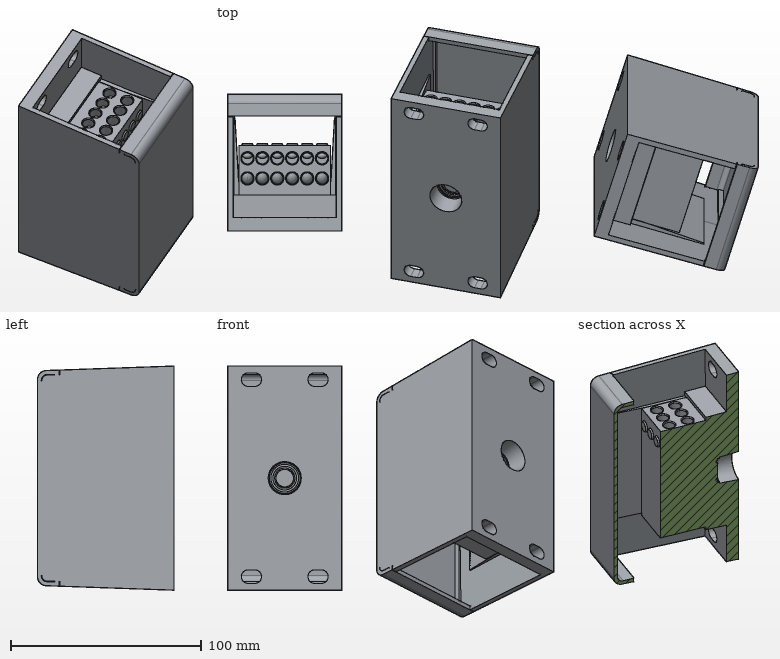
import cadquery as cq
import math

WIDTH = 60.0
DEPTH = 72.0
HEIGHT = 118.0
END_DRAFT = 2.0
BACK_CORNER_RADIUS = 5.0

FRONT_WALL = 7.1
COVER_THICKNESS = 2.2
COVER_INNER_RADIUS = 3.1
LIP_FRONT_Y = 60.4
LIP_INNER_HALF_HEIGHT = 54.4
COVER_INNER_Y = DEPTH - COVER_THICKNESS
CAVITY_HALF_WIDTH_MIDDLE = 26.3
CAVITY_HALF_WIDTH_END = 27.2
WALL_MIDDLE_X = (CAVITY_HALF_WIDTH_END + WIDTH / 2) / 2
POST_HALF_SPACING = 25.5
POST_DEPTH = 2.8

LIP_JOINT_WIDTH = 0.3
CORNER_JOINT_WIDTH = 0.1
CORNER_JOINT_FRONT_Y = 62.9

SLOT_LENGTH = 10.6
SLOT_HEIGHT = 7.1
SLOT_HALF_SPACING_X = 17.5
SLOT_HALF_SPACING_Z = 51.8

BLOCK_HALF_WIDTH = 24.1
BLOCK_HALF_HEIGHT = 33.6
PLATE_BACK_Y = 19.0
BLOCK_BACK_Y = 45.1
PLATE_HALF_HEIGHT = 35.5
PLATE_DRAFT = 1.4
RAIL_BACK_Y = 59.4
RAIL_HALF_SPACING_BACK = 26.1
RAIL_HALF_SPACING_FRONT = 23.8
RAIL_HALF_HEIGHT = 33.0

TERMINAL_COUNT = 6
TERMINAL_PITCH = 7.85
BACK_ROW_Y = 38.3
FRONT_ROW_Y = 27.7
TERMINAL_RADIUS = 3.0
COUNTERSINK_RADIUS = 3.5
COUNTERSINK_DEPTH = 0.6
TERMINAL_DEPTH = 8.0
DRILL_TIP_DEPTH = 1.8
CONTACT_RADIUS = 1.5
CONTACT_HALF_LENGTH = 2.6
CONTACT_OFFSET_Y = 1.3
COLLAR_BASE_RADIUS = 3.1
COLLAR_TIP_RADIUS = 2.6
COLLAR_HEIGHT = 0.9
COLLAR_Z = 25.0

ENTRY_MOUTH_RADIUS = 8.7
ENTRY_RADIUS = 8.1
ENTRY_DEPTH = 11.0
SEAL_RADIUS = 7.3
SEAL_DEPTH = 12.0
NECK_RADIUS = 6.2
NECK_DEPTH = 13.0
PLUG_BASE_RADIUS = 5.3
PLUG_TIP_RADIUS = 4.6
PLUG_HEIGHT = 1.0


def extrude_across(outline, half_width):
    """Extrude a YZ outline symmetrically along X."""
    return outline.extrude(half_width, both=True)


def housing_shell():
    back_half_height = HEIGHT / 2 - DEPTH * math.tan(math.radians(END_DRAFT))
    outline = cq.Workplane("YZ").polyline([
        (0, -HEIGHT / 2),
        (0, HEIGHT / 2),
        (DEPTH, back_half_height),
        (DEPTH, -back_half_height),
    ]).close()
    return extrude_across(outline, WIDTH / 2).edges("|X and >Y").fillet(BACK_CORNER_RADIUS)


def cavity():
    """Open at both ends in front of the cover lips, side walls drafted outward to the ends."""
    end_z = HEIGHT / 2
    drafted = (
        cq.Workplane("XZ", origin=(0, FRONT_WALL, 0))
        .polyline([
            (-CAVITY_HALF_WIDTH_END, -end_z),
            (CAVITY_HALF_WIDTH_END, -end_z),
            (CAVITY_HALF_WIDTH_MIDDLE, 0),
            (CAVITY_HALF_WIDTH_END, end_z),
            (-CAVITY_HALF_WIDTH_END, end_z),
            (-CAVITY_HALF_WIDTH_MIDDLE, 0),
        ])
        .close()
        .extrude(FRONT_WALL - COVER_INNER_Y)
    )
    open_part = cq.Workplane("XY").box(WIDTH, LIP_FRONT_Y, HEIGHT, centered=(True, False, True))
    covered_part = (
        cq.Workplane("XY")
        .box(WIDTH, COVER_INNER_Y, 2 * LIP_INNER_HALF_HEIGHT, centered=(True, False, True))
        .edges("|X and >Y")
        .fillet(COVER_INNER_RADIUS)
    )
    return drafted.intersect(open_part.union(covered_part))


def corner_posts():
    """Shallow posts filling the two vertical corners between the side walls and the cover."""
    post_width = WALL_MIDDLE_X - POST_HALF_SPACING
    post_center_x = (WALL_MIDDLE_X + POST_HALF_SPACING) / 2
    return (
        cq.Workplane("XY", origin=(0, COVER_INNER_Y - POST_DEPTH / 2, 0))
        .pushPoints([(-post_center_x, 0), (post_center_x, 0)])
        .rect(post_width, POST_DEPTH)
        .extrude(LIP_INNER_HALF_HEIGHT - COVER_INNER_RADIUS, both=True)
    )


def cover_joints():
    """Narrow gaps at the top end, between the side walls and the cover lip and its bent corner."""
    lip_gap = cq.Workplane("XY").box(
        WIDTH, LIP_JOINT_WIDTH, HEIGHT / 2 - LIP_INNER_HALF_HEIGHT, centered=(True, True, False)
    ).translate((0, LIP_FRONT_Y - LIP_JOINT_WIDTH / 2, LIP_INNER_HALF_HEIGHT))

    bend_y = COVER_INNER_Y - COVER_INNER_RADIUS
    bend_z = LIP_INNER_HALF_HEIGHT - COVER_INNER_RADIUS
    inner_radius = COVER_INNER_RADIUS - CORNER_JOINT_WIDTH
    diagonal = math.sqrt(0.5)
    outline = (
        cq.Workplane("YZ")
        .moveTo(CORNER_JOINT_FRONT_Y, bend_z + COVER_INNER_RADIUS)
        .lineTo(bend_y, bend_z + COVER_INNER_RADIUS)
        .threePointArc(
            (bend_y + COVER_INNER_RADIUS * diagonal, bend_z + COVER_INNER_RADIUS * diagonal),
            (bend_y + COVER_INNER_RADIUS, bend_z),
        )
        .lineTo(bend_y + inner_radius, bend_z)
        .threePointArc(
            (bend_y + inner_radius * diagonal, bend_z + inner_radius * diagonal),
            (bend_y, bend_z + inner_radius),
        )
        .lineTo(CORNER_JOINT_FRONT_Y, bend_z + inner_radius)
        .close()
    )
    return lip_gap.union(extrude_across(outline, WIDTH / 2))


def mounting_slots():
    return (
        cq.Workplane("XZ")
        .rect(2 * SLOT_HALF_SPACING_X, 2 * SLOT_HALF_SPACING_Z, forConstruction=True)
        .vertices()
        .slot2D(SLOT_LENGTH, SLOT_HEIGHT)
        .extrude(-FRONT_WALL)
    )


def mounting_plate():
    plate_depth = PLATE_BACK_Y - FRONT_WALL
    front_half_height = PLATE_HALF_HEIGHT + plate_depth * math.tan(math.radians(PLATE_DRAFT))
    outline = cq.Workplane("YZ").polyline([
        (FRONT_WALL, -front_half_height),
        (FRONT_WALL, front_half_height),
        (PLATE_BACK_Y, PLATE_HALF_HEIGHT),
        (PLATE_BACK_Y, -PLATE_HALF_HEIGHT),
    ]).close()
    return extrude_across(outline, WALL_MIDDLE_X)


def side_rails():
    """Wedges on the side walls that thicken toward the front and run into the block."""
    rail = (
        cq.Workplane("XY")
        .polyline([
            (WALL_MIDDLE_X, PLATE_BACK_Y),
            (RAIL_HALF_SPACING_FRONT, PLATE_BACK_Y),
            (RAIL_HALF_SPACING_BACK, RAIL_BACK_Y),
            (WALL_MIDDLE_X, RAIL_BACK_Y),
        ])
        .close()
        .extrude(RAIL_HALF_HEIGHT, both=True)
    )
    return rail.union(rail.mirror("YZ"))


def terminal_bore(x, y, tip_depth):
    """Countersunk blind bore, flat or conical at the floor, with a barrel-shaped contact lying in it."""
    floor = -TERMINAL_DEPTH
    profile = [
        (0, 0),
        (COUNTERSINK_RADIUS, 0),
        (TERMINAL_RADIUS, -COUNTERSINK_DEPTH),
        (TERMINAL_RADIUS, floor),
        (0, floor - tip_depth),
    ]
    bore = cq.Workplane("XZ").polyline(profile).close().revolve(360, (0, 0), (0, 1))
    contact = (
        cq.Workplane("XY", origin=(0, CONTACT_OFFSET_Y, floor))
        .moveTo(-CONTACT_HALF_LENGTH, 0)
        .threePointArc((0, CONTACT_RADIUS), (CONTACT_HALF_LENGTH, 0))
        .close()
        .revolve(360, (0, 0), (1, 0))
    )
    return bore.cut(contact).translate((x, y, BLOCK_HALF_HEIGHT))


def terminal_block():
    block_depth = BLOCK_BACK_Y - FRONT_WALL
    block = (
        cq.Workplane("XY")
        .box(2 * BLOCK_HALF_WIDTH, block_depth, 2 * BLOCK_HALF_HEIGHT, centered=(True, False, True))
        .translate((0, FRONT_WALL, 0))
    )
    collar = cq.Workplane(cq.Solid.makeCone(
        COLLAR_BASE_RADIUS, COLLAR_TIP_RADIUS, COLLAR_HEIGHT,
        pnt=cq.Vector(0, BLOCK_BACK_Y, COLLAR_Z), dir=cq.Vector(0, 1, 0),
    ))
    for index in range(TERMINAL_COUNT):
        x = (index - (TERMINAL_COUNT - 1) / 2) * TERMINAL_PITCH
        block = block.cut(terminal_bore(x, BACK_ROW_Y, tip_depth=0))
        block = block.cut(terminal_bore(x, FRONT_ROW_Y, tip_depth=DRILL_TIP_DEPTH))
        block = block.union(collar.translate((x, 0, 0)))
    return block


def cable_entry():
    profile = [
        (0, 0),
        (ENTRY_MOUTH_RADIUS, 0),
        (ENTRY_RADIUS, ENTRY_DEPTH),
        (SEAL_RADIUS, ENTRY_DEPTH),
        (SEAL_RADIUS, SEAL_DEPTH),
        (NECK_RADIUS, SEAL_DEPTH),
        (NECK_RADIUS, NECK_DEPTH),
        (PLUG_BASE_RADIUS, NECK_DEPTH),
        (PLUG_TIP_RADIUS, NECK_DEPTH - PLUG_HEIGHT),
        (0, NECK_DEPTH - PLUG_HEIGHT),
    ]
    return cq.Workplane("XY").polyline(profile).close().revolve(360, (0, 0), (0, 1))


housing = housing_shell().cut(cavity()).union(corner_posts())
joints = cover_joints()
housing = housing.cut(joints).cut(joints.mirror("XY"))
housing = housing.cut(mounting_slots())
fittings = mounting_plate().union(side_rails())
result = housing.union(fittings).union(terminal_block()).cut(cable_entry())